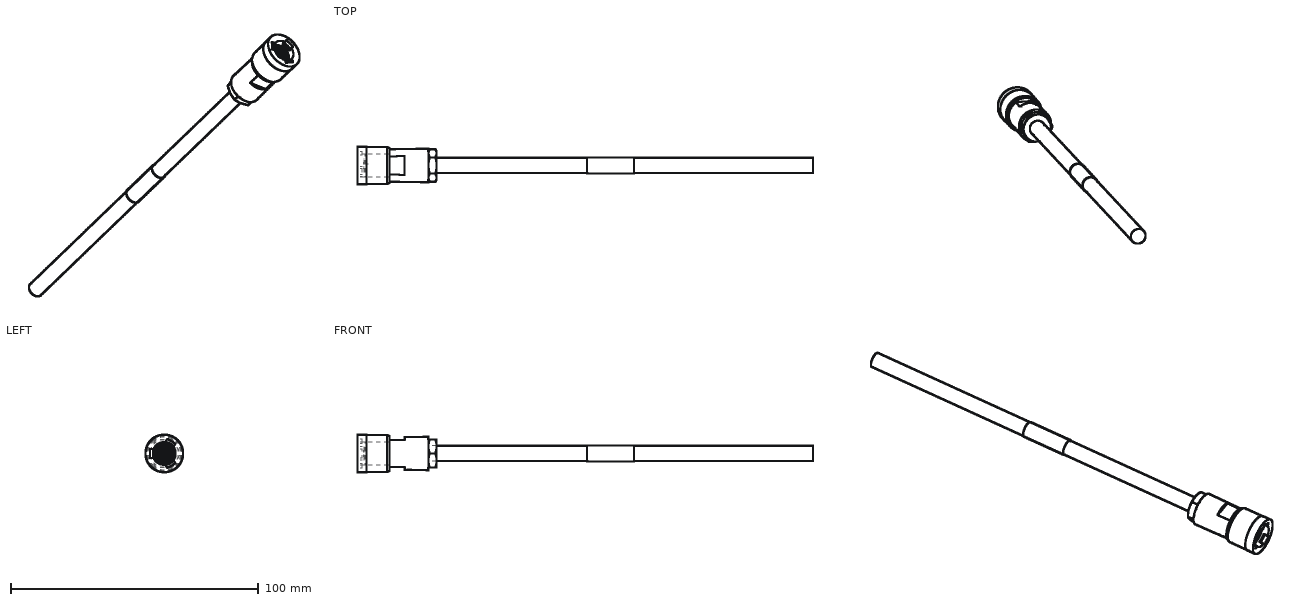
import cadquery as cq
import math


total_length = 184.2
cable_radius = 3.1
marker_start = 92.8
marker_end = 111.8
marker_thickness = 0.2
marker_radius = cable_radius + marker_thickness

rim_diameter = 15.3
rim_radius = rim_diameter / 2
rim_length = 3.7
sleeve_radius = 7.5
sleeve_length = 13.0
sleeve_chamfer_length = 1.1
sleeve_chamfer_depth = 0.5
bore_radius = 4.6
keyway_count = 3
keyway_radius = 5.7
keyway_width = 3.7
keyway_depth = 1.8

body_front_x = 3.1
body_front_radius = 6.6
body_rear_x = 28.7
body_rear_radius = 6.8
flat_end_x = 19.2
flat_height = 5.5

insulator_radius = 3.9
contact_radius = 1.3
contact_hole_radius = 0.5
contact_hole_depth = 1.8
step_count = 4
step_height = 0.13

nut_end_x = 32.0
nut_across_flats = 11.5
nut_chamfer_angle = 30.0


def cylinder(radius, start_x, end_x):
    """Solid cylinder along the X axis."""
    return cq.Workplane("YZ", origin=(start_x, 0, 0)).circle(radius).extrude(end_x - start_x)


def revolve_about_x(points):
    """Solid of revolution of a closed (x, radius) outline."""
    return cq.Workplane("XY").polyline(points).close().revolve(360, (0, 0, 0), (1, 0, 0))


def make_coupling_sleeve():
    sleeve = revolve_about_x([
        (0, bore_radius),
        (0, rim_radius),
        (rim_length, rim_radius),
        (rim_length, sleeve_radius),
        (sleeve_length - sleeve_chamfer_length, sleeve_radius),
        (sleeve_length, sleeve_radius - sleeve_chamfer_depth),
        (sleeve_length, bore_radius),
    ])
    keyway = cq.Workplane("XY").box(
        keyway_depth, keyway_radius, keyway_width, centered=(False, False, True)
    )
    for index in range(keyway_count):
        sleeve = sleeve.cut(keyway.rotate((0, 0, 0), (1, 0, 0), index * 360 / keyway_count))
    return sleeve


def make_connector_body():
    plug = cylinder(bore_radius, body_front_x, sleeve_length)
    barrel = revolve_about_x([
        (sleeve_length, 0),
        (sleeve_length, body_front_radius),
        (body_rear_x, body_rear_radius),
        (body_rear_x, 0),
    ])
    flat_length = flat_end_x - sleeve_length
    flat_center_x = sleeve_length + flat_length / 2
    flat_center_z = flat_height + body_rear_radius / 2
    for side in (1, -1):
        flat = cq.Workplane("XY").box(flat_length, 2 * body_rear_radius, body_rear_radius)
        barrel = barrel.cut(flat.translate((flat_center_x, 0, side * flat_center_z)))
    body = plug.union(barrel)

    ring_width = (insulator_radius - contact_radius) / step_count
    for step in range(step_count + 1):
        ring_radius = insulator_radius - step * ring_width
        ring_front_x = body_front_x - (step + 1) * step_height
        body = body.union(cylinder(ring_radius, ring_front_x, sleeve_length))
    contact_front_x = body_front_x - (step_count + 1) * step_height
    contact_hole = cylinder(contact_hole_radius, contact_front_x, contact_front_x + contact_hole_depth)
    return body.cut(contact_hole)


def make_clamp_nut():
    corner_radius = nut_across_flats / 2 / math.cos(math.pi / 6)
    corner_cut = corner_radius - nut_across_flats / 2
    chamfer_length = corner_cut * math.tan(math.radians(nut_chamfer_angle))
    hexagon = (
        cq.Workplane("YZ", origin=(body_rear_x, 0, 0))
        .polygon(6, 2 * corner_radius)
        .extrude(nut_end_x - body_rear_x)
    )
    trimmer = revolve_about_x([
        (body_rear_x, 0),
        (body_rear_x, nut_across_flats / 2),
        (body_rear_x + chamfer_length, corner_radius),
        (nut_end_x - chamfer_length, corner_radius),
        (nut_end_x, nut_across_flats / 2),
        (nut_end_x, 0),
    ])
    cable_hole = cylinder(cable_radius, body_rear_x, nut_end_x)
    return hexagon.intersect(trimmer).cut(cable_hole)


def make_cable():
    return cylinder(cable_radius, body_rear_x, total_length)


def make_marker_sleeve():
    outer = cylinder(marker_radius, marker_start, marker_end)
    return outer.cut(cylinder(cable_radius, marker_start, marker_end))


coupling_sleeve = make_coupling_sleeve()
connector_body = make_connector_body()
clamp_nut = make_clamp_nut()
cable = make_cable()
marker_sleeve = make_marker_sleeve()

result = cq.Compound.makeCompound([
    coupling_sleeve.val(),
    connector_body.val(),
    clamp_nut.val(),
    cable.val(),
    marker_sleeve.val(),
])